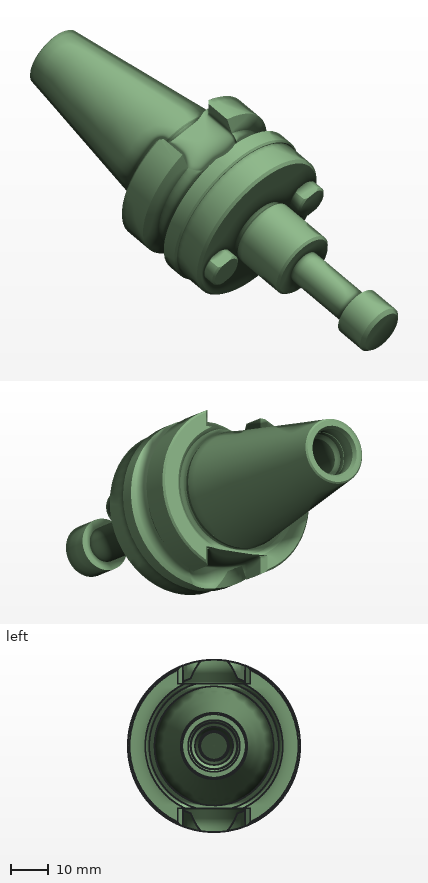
import cadquery as cq
import math

GAUGE_DIAMETER = 31.8
TAPER_LENGTH = 48.5
TAPER_RATIO = 7 / 24
TAPER_TIP_CHAMFER = 0.4

NECK_DIAMETER = 31.0
NECK_BEVEL = 0.4
FLANGE_START = 49.5
FLANGE_DIAMETER = 46.0
FLANGE_CHAMFER = 0.5
FLANGE_END = 70.4
RECESS_DEPTH = 0.9
RECESS_FLOOR_DIAMETER = 34.5
RECESS_MOUTH_DIAMETER = 36.7

GRIPPER_GROOVE_START = 58.0
GRIPPER_GROOVE_END = 65.9
GRIPPER_GROOVE_FLANK = 2.0
GRIPPER_GROOVE_DIAMETER = 38.0

COLLAR_DIAMETER = 44.5
COLLAR_END = 78.6
COLLAR_CHAMFER = 0.8

PILOT_RELIEF_DIAMETER = 17.6
PILOT_RELIEF_LENGTH = 1.0
PILOT_DIAMETER = 19.1
PILOT_END = 95.8
PILOT_CHAMFER = 0.6

SLOT_WIDTH = 16.6
SLOT_FLOOR_HEIGHT = 16.6
SLOT_ROUND_CENTER = 58.4
SLOT_FLOOR_FILLET = 0.5
SLOT_ENTRY_CHAMFER = 1.4

COUNTERBORE_DIAMETER = 12.5
COUNTERBORE_MOUTH_DIAMETER = 13.8
COUNTERBORE_DEPTH = 5.3
STEP_DIAMETER = 12.3
STEP_END = 7.0
STUD_BORE_DIAMETER = 10.2
STUD_BORE_END = 25.1
STUD_HOLE_CONE_ANGLE = 60

BOLT_TAIL_DIAMETER = 8.0
BOLT_TAIL_CHAMFER = 0.4
BOLT_SHANK_DIAMETER = 9.5
BOLT_SHANK_START = COLLAR_END
BOLT_HEAD_DIAMETER = 14.0
BOLT_HEAD_START = 116.1
BOLT_HEAD_CHAMFER = 1.0
BOLT_END = 125.5

PIN_DIAMETER = 9.5
PIN_LENGTH = 4.0
PIN_CHAMFER = 0.5
PIN_ACROSS_FLATS = 8.0
PIN_OFFSET = 16.0


def stud_cone_length(wide_diameter, narrow_diameter):
    """Axial length of the stud hole's cone between two diameters."""
    half_angle = math.radians(STUD_HOLE_CONE_ANGLE / 2)
    return (wide_diameter - narrow_diameter) / 2 / math.tan(half_angle)


BOLT_TAIL_START = STUD_BORE_END + stud_cone_length(STUD_BORE_DIAMETER, BOLT_TAIL_DIAMETER)


def revolve_about_x(points):
    """Turn a closed outline of (axial place, radius) points about the X axis."""
    return cq.Workplane("XY").polyline(points).close().revolve(360, (0, 0, 0), (1, 0, 0))


def make_holder_blank():
    """Turned outside of the holder, from the taper to the pilot."""
    taper_end_radius = GAUGE_DIAMETER / 2
    taper_slope = TAPER_RATIO / 2
    tip_radius = taper_end_radius - TAPER_LENGTH * taper_slope
    chamfer_radius = tip_radius + TAPER_TIP_CHAMFER * taper_slope
    neck_radius = NECK_DIAMETER / 2
    recess_end = FLANGE_START + RECESS_DEPTH
    flange_radius = FLANGE_DIAMETER / 2
    groove_radius = GRIPPER_GROOVE_DIAMETER / 2
    collar_radius = COLLAR_DIAMETER / 2
    relief_end = COLLAR_END + PILOT_RELIEF_LENGTH
    relief_radius = PILOT_RELIEF_DIAMETER / 2
    pilot_radius = PILOT_DIAMETER / 2
    return revolve_about_x([
        (0, 0),
        (0, tip_radius - TAPER_TIP_CHAMFER),
        (TAPER_TIP_CHAMFER, chamfer_radius),
        (TAPER_LENGTH, taper_end_radius),
        (TAPER_LENGTH + NECK_BEVEL, neck_radius),
        (recess_end - NECK_BEVEL, neck_radius),
        (recess_end, neck_radius + NECK_BEVEL),
        (recess_end, RECESS_FLOOR_DIAMETER / 2),
        (FLANGE_START, RECESS_MOUTH_DIAMETER / 2),
        (FLANGE_START, flange_radius - FLANGE_CHAMFER),
        (FLANGE_START + FLANGE_CHAMFER, flange_radius),
        (GRIPPER_GROOVE_START, flange_radius),
        (GRIPPER_GROOVE_START + GRIPPER_GROOVE_FLANK, groove_radius),
        (GRIPPER_GROOVE_END - GRIPPER_GROOVE_FLANK, groove_radius),
        (GRIPPER_GROOVE_END, flange_radius),
        (FLANGE_END - FLANGE_CHAMFER, flange_radius),
        (FLANGE_END, flange_radius - FLANGE_CHAMFER),
        (FLANGE_END, collar_radius),
        (COLLAR_END - COLLAR_CHAMFER, collar_radius),
        (COLLAR_END, collar_radius - COLLAR_CHAMFER),
        (COLLAR_END, relief_radius),
        (relief_end, relief_radius),
        (relief_end + pilot_radius - relief_radius, pilot_radius),
        (PILOT_END - PILOT_CHAMFER, pilot_radius),
        (PILOT_END, pilot_radius - PILOT_CHAMFER),
        (PILOT_END, 0),
    ])


def make_drive_slot_cutter():
    """Round-ended slot at +Z with a filleted floor and a chamfered entry."""
    half_width = SLOT_WIDTH / 2
    half_entry = half_width + SLOT_ENTRY_CHAMFER
    height = FLANGE_DIAMETER / 2
    floor = cq.Workplane("XY").workplane(offset=SLOT_FLOOR_HEIGHT)
    slot = (
        floor.moveTo(TAPER_LENGTH, -half_width)
        .lineTo(SLOT_ROUND_CENTER, -half_width)
        .threePointArc((SLOT_ROUND_CENTER + half_width, 0), (SLOT_ROUND_CENTER, half_width))
        .lineTo(TAPER_LENGTH, half_width)
        .close()
        .extrude(height)
        .faces("<Z").edges("not(<X)").fillet(SLOT_FLOOR_FILLET)
    )
    entry = (
        floor.polyline([
            (FLANGE_START, -half_entry),
            (FLANGE_START + SLOT_ENTRY_CHAMFER, -half_width),
            (FLANGE_START + SLOT_ENTRY_CHAMFER, half_width),
            (FLANGE_START, half_entry),
        ])
        .close()
        .extrude(height)
    )
    return slot.union(entry)


def make_bore_cutter():
    """Stud hole from the taper end, running on into the stepped hole for the bolt."""
    counterbore_radius = COUNTERBORE_DIAMETER / 2
    step_radius = STEP_DIAMETER / 2
    stud_radius = STUD_BORE_DIAMETER / 2
    tail_radius = BOLT_TAIL_DIAMETER / 2
    shank_radius = BOLT_SHANK_DIAMETER / 2
    mouth_length = stud_cone_length(COUNTERBORE_MOUTH_DIAMETER, COUNTERBORE_DIAMETER)
    step_cone_length = (STEP_DIAMETER - STUD_BORE_DIAMETER) / 2
    return revolve_about_x([
        (0, 0),
        (0, COUNTERBORE_MOUTH_DIAMETER / 2),
        (mouth_length, counterbore_radius),
        (COUNTERBORE_DEPTH, counterbore_radius),
        (COUNTERBORE_DEPTH, step_radius),
        (STEP_END, step_radius),
        (STEP_END + step_cone_length, stud_radius),
        (STUD_BORE_END, stud_radius),
        (BOLT_TAIL_START, tail_radius),
        (BOLT_SHANK_START, tail_radius),
        (BOLT_SHANK_START, shank_radius),
        (PILOT_END, shank_radius),
        (PILOT_END, 0),
    ])


def make_holder():
    """Holder with both drive slots and the axial bore."""
    slot = make_drive_slot_cutter()
    opposite_slot = slot.rotate((0, 0, 0), (1, 0, 0), 180)
    return make_holder_blank().cut(slot).cut(opposite_slot).cut(make_bore_cutter())


def make_bolt():
    """Clamping bolt: tail and shank inside the holder, head beyond the pilot."""
    tail_radius = BOLT_TAIL_DIAMETER / 2
    shank_radius = BOLT_SHANK_DIAMETER / 2
    head_radius = BOLT_HEAD_DIAMETER / 2
    return revolve_about_x([
        (BOLT_TAIL_START, 0),
        (BOLT_TAIL_START, tail_radius - BOLT_TAIL_CHAMFER),
        (BOLT_TAIL_START + BOLT_TAIL_CHAMFER, tail_radius),
        (BOLT_SHANK_START, tail_radius),
        (BOLT_SHANK_START, shank_radius),
        (BOLT_HEAD_START, shank_radius),
        (BOLT_HEAD_START, head_radius),
        (BOLT_END - BOLT_HEAD_CHAMFER, head_radius),
        (BOLT_END, head_radius - BOLT_HEAD_CHAMFER),
        (BOLT_END, 0),
    ])


def make_drive_pin(side):
    """Round pin with two flats facing +Z and -Z, seated on the collar face at side * Y."""
    seat = cq.Workplane("YZ", origin=(COLLAR_END, side * PIN_OFFSET, 0))
    disc = (
        seat.circle(PIN_DIAMETER / 2)
        .extrude(PIN_LENGTH)
        .edges().chamfer(PIN_CHAMFER)
    )
    between_flats = seat.rect(PIN_DIAMETER, PIN_ACROSS_FLATS).extrude(PIN_LENGTH)
    return disc.intersect(between_flats)


holder = make_holder().solids()
bolt = make_bolt().solids()
drive_pins = [make_drive_pin(side).solids() for side in (1, -1)]

result = cq.Compound.makeCompound([holder.val(), bolt.val(), *[pin.val() for pin in drive_pins]])